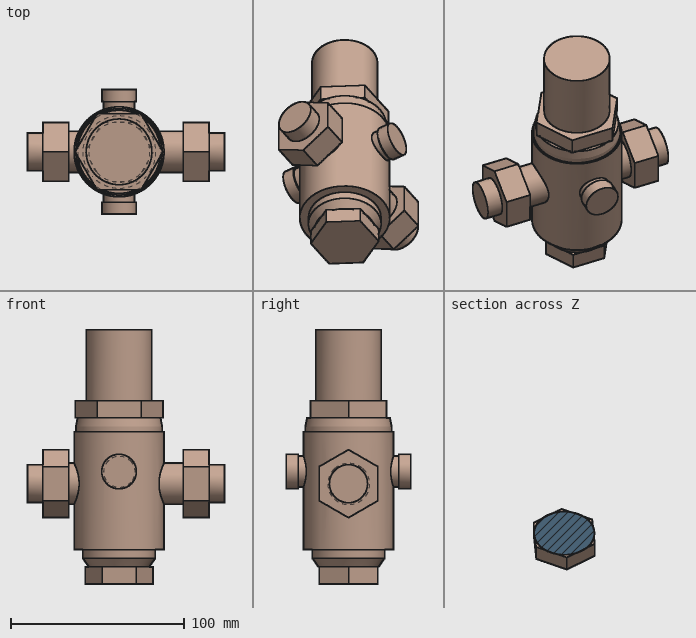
import cadquery as cq
import math


BOTTOM_NUT_BASE = -58
BOTTOM_NUT_TOP = -48
COLLAR_BASE = -43
BODY_BASE = -38
BODY_TOP = 30
SHOULDER_TOP = 33
BONNET_NUT_BASE = 38
BONNET_NUT_TOP = 48
CAP_TOP = 89

BODY_DIAMETER = 52
COLLAR_DIAMETER = 42
COLLAR_TIP_DIAMETER = 35
SHOULDER_DIAMETER = 50
SHOULDER_TIP_DIAMETER = 48
CAP_DIAMETER = 38

BONNET_NUT_FLATS = 44
SMALL_NUT_FLATS = 34

LEFT_REACH = 53
RIGHT_REACH = 61
TAIL_LENGTH = 9
TAIL_DIAMETER = 22
UNION_NUT_WIDTH = 15
PIPE_NECK_DIAMETER = 24

GAUGE_HEIGHT = 7
GAUGE_REACH = 36
GAUGE_HEAD_LENGTH = 7
GAUGE_HEAD_DIAMETER = 20
GAUGE_NECK_DIAMETER = 18


def across_corners(flats):
    """Corner-to-corner size of a hexagon given its size across flats."""
    return flats / math.cos(math.pi / 6)


def plane_along(direction, start, height=0.0):
    """Upright work plane facing along a direction, set off by start from the body axis."""
    dx, dy = direction
    return cq.Workplane(cq.Plane(origin=(dx * start, dy * start, height), xDir=(0, 0, 1), normal=(dx, dy, 0)))


def rod(direction, start, end, diameter, height=0.0):
    """Horizontal cylinder from start to end, measured out from the body axis."""
    return plane_along(direction, start, height).circle(diameter / 2).extrude(end - start)


def upright_hex(base, top, flats):
    """Hexagonal prism on the body axis with corners on the X axis."""
    return cq.Workplane("XY", origin=(0, 0, base)).polygon(6, across_corners(flats)).extrude(top - base)


def turned_body():
    """Collar, main barrel, shoulder and cap, turned about the Z axis."""
    return (
        cq.Workplane("XZ")
        .moveTo(0, BOTTOM_NUT_TOP)
        .lineTo(-COLLAR_TIP_DIAMETER / 2, BOTTOM_NUT_TOP)
        .lineTo(-COLLAR_DIAMETER / 2, COLLAR_BASE)
        .lineTo(-COLLAR_DIAMETER / 2, BODY_BASE)
        .lineTo(-BODY_DIAMETER / 2, BODY_BASE)
        .lineTo(-BODY_DIAMETER / 2, BODY_TOP)
        .lineTo(-SHOULDER_DIAMETER / 2, BODY_TOP)
        .lineTo(-SHOULDER_DIAMETER / 2, SHOULDER_TOP)
        .lineTo(-SHOULDER_TIP_DIAMETER / 2, BONNET_NUT_BASE)
        .lineTo(-CAP_DIAMETER / 2, BONNET_NUT_BASE)
        .lineTo(-CAP_DIAMETER / 2, CAP_TOP)
        .lineTo(0, CAP_TOP)
        .close()
        .revolve(360, (0, 0, 0), (0, 1, 0))
    )


def pipe_connection(direction, reach):
    """Neck, union nut with corners up and down, and plain tail."""
    nut_outer = reach - TAIL_LENGTH
    nut_inner = nut_outer - UNION_NUT_WIDTH
    neck = rod(direction, 0, nut_inner, PIPE_NECK_DIAMETER)
    nut = plane_along(direction, nut_inner).polygon(6, across_corners(SMALL_NUT_FLATS)).extrude(UNION_NUT_WIDTH)
    tail = rod(direction, nut_outer, reach, TAIL_DIAMETER)
    return neck.union(nut).union(tail)


def gauge_port(direction):
    """Short neck ending in a slightly larger round head."""
    head_inner = GAUGE_REACH - GAUGE_HEAD_LENGTH
    neck = rod(direction, 0, head_inner, GAUGE_NECK_DIAMETER, GAUGE_HEIGHT)
    head = rod(direction, head_inner, GAUGE_REACH, GAUGE_HEAD_DIAMETER, GAUGE_HEIGHT)
    return neck.union(head)


result = turned_body()
result = result.union(upright_hex(BOTTOM_NUT_BASE, BOTTOM_NUT_TOP, SMALL_NUT_FLATS))
result = result.union(upright_hex(BONNET_NUT_BASE, BONNET_NUT_TOP, BONNET_NUT_FLATS))

for side, reach in ((-1, LEFT_REACH), (1, RIGHT_REACH)):
    result = result.union(pipe_connection((side, 0), reach))

for side in (-1, 1):
    result = result.union(gauge_port((0, side)))